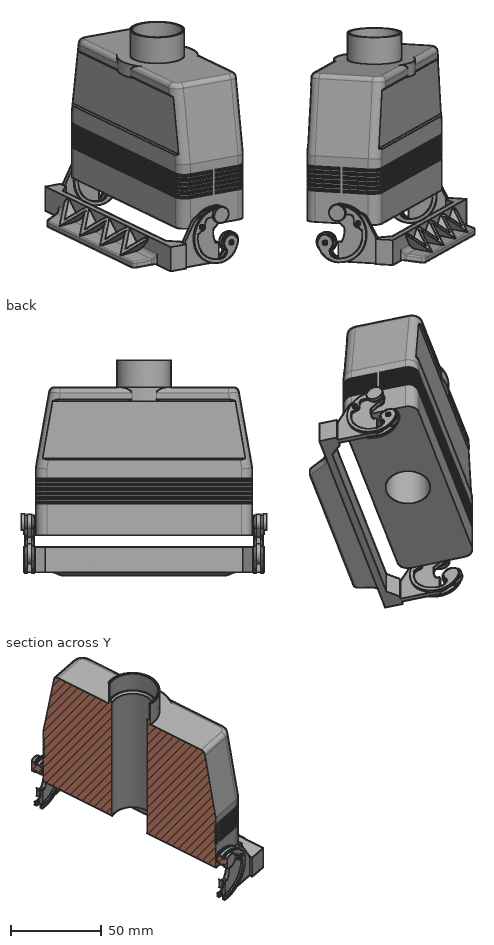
import cadquery as cq
import math

OVERLAP = 1.0

OVERALL_DEPTH = 66.59
OVERALL_HEIGHT = 119.37

HOOD_LENGTH = 120.0
HOOD_DEPTH = 43.0
HOOD_HEIGHT = 82.0
TAPER_START = 37.5
TAPER_ANGLE = 10.0
CORNER_RADIUS = 6.0
TOP_RADIUS = 3.0

PANEL_DEPTH = 0.9
PANEL_BOTTOM = 42.8
PANEL_TOP = 74.4

GROOVE_COUNT = 6
GROOVE_PITCH = 2.52
GROOVE_LOWEST = 18.2
GROOVE_WIDTH = 1.4
GROOVE_DEPTH = 0.45
GROOVE_WEB = 2.0

COLLAR_RADIUS = 22.57
TUBE_RADIUS = 15.0
TUBE_HEIGHT = 15.0
SOCKET_RADIUS = 14.0
SOCKET_DEPTH = 12.0
SEAT_RADIUS = 13.6
BORE_RADIUS = 12.4

PIVOT_Z = 7.4
PIN_RADIUS = 2.6
PIN_HEAD_RADIUS = 4.65
PIN_HEAD_X = 68.0
ARM_X = 63.4
ARM_THICKNESS = 2.5
HOOK_THICKNESS = 5.2

HOOK_Z = -4.57
HOOK_OUTER_RADIUS = 16.3
HOOK_INNER_RADIUS = 14.1
PIVOT_BOSS_RADIUS = 3.8
CURL_RADIUS = 12.0
TIP_Y = 7.5
TIP_Z = -10.1
TIP_RADIUS = 4.4
ROLLER_RADIUS = 5.5
MOUTH_Y = 0.6
MOUTH_RADIUS = 4.45
RIVET_Y = -11.7
RIVET_Z = 1.9
RIVET_BOSS_RADIUS = 2.5
RIVET_RADIUS = 1.35
RIVET_HOLE_RADIUS = 0.75
RIVET_HEIGHT = 0.6
NECK_ANGLE = 215
INNER_END_ANGLE = 170
ARMPIT_Z = 6.4
ARMPIT_RADIUS = 2.6
CREST_ANGLE = 150

PLATE_BOSS_RADIUS = HOOK_Z + HOOK_OUTER_RADIUS - PIVOT_Z
PLATE_BACK = 0.4
NOTCH_TOP = (-3.0, -1.0)
NOTCH_MIDDLE = (-3.2, -4.5)
NOTCH_BOTTOM_Y = -1.3
NOTCH_BOTTOM_Z = -9.5
SHOULDER_BOTTOM = (-16.0, 4.4)
SHOULDER_MIDDLE = (-14.3, 6.3)
SHOULDER_ANGLE = 132
THROAT_ANGLE = -50

BAR_HALF_LENGTH = 66.5
BAR_TOP = -6.4
BAR_BOTTOM = -20.5
BAR_FRONT = -32.1
BAR_THIN_BACK = -28.0
BAR_PAD_BACK = -22.0
PAD_INNER_X = 60.3
PAD_CHAMFER = 5.6

FLANGE_ROOT_HALF = 52.2
FLANGE_WAIST_HALF = 50.2
FLANGE_TIP_HALF = 45.9
FLANGE_FLARE = 1.9
FLANGE_TIP_Y = COLLAR_RADIUS - OVERALL_DEPTH
FLANGE_BOTTOM = HOOD_HEIGHT + TUBE_HEIGHT - OVERALL_HEIGHT
FLANGE_ROOT_TOP = -13.9
FLANGE_TIP_TOP = -18.7
FLANGE_SLOPE = 0.19
FLANGE_UNDERSIDE_ANGLE = 9.7
ROOT_FILLET = 2.7
FLANGE_CORNER = 3.0
FLANGE_EDGE = 0.9

ZIGZAG_TROUGHS = 4
ZIGZAG_HALF_PITCH = 10.72
ZIGZAG_LOW = -18.5
ZIGZAG_RISE = 10.0
ZIGZAG_THICKNESS = 3.0
TROUGH_LIFT = 1.3
WEB_TOP_AT_BAR = -6.7


def cylinder_z(radius, z0, z1):
    return cq.Workplane("XY").workplane(offset=z0).circle(radius).extrude(z1 - z0)


def cylinder_x(radius, y, z, x0, x1):
    return cq.Workplane("YZ").workplane(offset=x0).center(y, z).circle(radius).extrude(x1 - x0)


def on_circle(y, z, radius, degrees):
    angle = math.radians(degrees)
    return (y + radius * math.cos(angle), z + radius * math.sin(angle))


def make_hood_blank():
    half_bottom = HOOD_LENGTH / 2
    half_top = half_bottom - (HOOD_HEIGHT - TAPER_START) * math.tan(math.radians(TAPER_ANGLE))
    hood = (
        cq.Workplane("XZ")
        .polyline([
            (-half_bottom, 0), (half_bottom, 0), (half_bottom, TAPER_START),
            (half_top, HOOD_HEIGHT), (-half_top, HOOD_HEIGHT), (-half_bottom, TAPER_START),
        ])
        .close()
        .extrude(HOOD_DEPTH / 2, both=True)
    )
    hood = hood.edges("not(#Z or |Y)").fillet(CORNER_RADIUS)
    return hood.faces(">Z").edges().fillet(TOP_RADIUS)


def make_side_panel():
    """Cutter for the panel on the -Y side, with 45 degree edges at top and bottom."""
    surface_y = -HOOD_DEPTH / 2
    floor_y = surface_y + PANEL_DEPTH
    return (
        cq.Workplane("YZ")
        .polyline([
            (floor_y, PANEL_BOTTOM), (floor_y, PANEL_TOP),
            (surface_y, PANEL_TOP + PANEL_DEPTH), (surface_y, PANEL_BOTTOM - PANEL_DEPTH),
        ])
        .close()
        .extrude(HOOD_LENGTH / 2, both=True)
    )


def make_groove():
    """Cutter for one grip groove, standing on z = 0, with flanks sloping in at 45 degrees."""
    flank = (
        cq.Workplane("XY")
        .sketch()
        .rect(HOOD_LENGTH, HOOD_DEPTH)
        .vertices()
        .fillet(CORNER_RADIUS)
        .finalize()
        .extrude(GROOVE_DEPTH, taper=45)
    )
    floor = flank.faces(">Z").wires().toPending().extrude(GROOVE_WIDTH - 2 * GROOVE_DEPTH)
    core = floor.union(flank.mirror("XY").translate((0, 0, GROOVE_WIDTH)))
    ring = cq.Workplane("XY").rect(HOOD_LENGTH + OVERLAP, HOOD_DEPTH + OVERLAP).extrude(GROOVE_WIDTH)
    web = cq.Workplane("XY").rect(HOOD_LENGTH + OVERLAP, GROOVE_WEB).extrude(GROOVE_WIDTH)
    return ring.cut(core).cut(web)


def make_bore():
    top = HOOD_HEIGHT + TUBE_HEIGHT
    ledge = top - SOCKET_DEPTH
    seat_bottom = ledge - (SEAT_RADIUS - BORE_RADIUS)
    return (
        cq.Workplane("XZ")
        .polyline([
            (0, 0), (BORE_RADIUS, 0), (BORE_RADIUS, seat_bottom), (SEAT_RADIUS, ledge),
            (SOCKET_RADIUS, ledge), (SOCKET_RADIUS, top), (0, top),
        ])
        .close()
        .revolve(360, (0, 0, 0), (0, 1, 0))
    )


def make_hook():
    """Pair of crescent cheeks of one arm, either side of x = 0, from the pivot to the curled tip."""
    bottom = HOOK_Z - HOOK_OUTER_RADIUS
    inner_bottom = HOOK_Z - HOOK_INNER_RADIUS
    curl_z = bottom + CURL_RADIUS
    curl_end = math.degrees(math.atan2(TIP_Z - curl_z, TIP_Y))
    mouth_z = inner_bottom + MOUTH_RADIUS
    armpit_y = RIVET_Y + RIVET_BOSS_RADIUS
    hook = (
        cq.Workplane("YZ")
        .moveTo(0, PIVOT_Z + PIVOT_BOSS_RADIUS)
        .threePointArc(on_circle(0, HOOK_Z, HOOK_OUTER_RADIUS, CREST_ANGLE), (-HOOK_OUTER_RADIUS, HOOK_Z))
        .threePointArc(on_circle(0, HOOK_Z, HOOK_OUTER_RADIUS, 225), (0, bottom))
        .threePointArc(
            on_circle(0, curl_z, CURL_RADIUS, (curl_end - 90) / 2),
            on_circle(0, curl_z, CURL_RADIUS, curl_end),
        )
        .threePointArc((TIP_Y, TIP_Z + TIP_RADIUS), on_circle(TIP_Y, TIP_Z, TIP_RADIUS, NECK_ANGLE))
        .lineTo(MOUTH_Y + MOUTH_RADIUS, mouth_z)
        .threePointArc(on_circle(MOUTH_Y, mouth_z, MOUTH_RADIUS, -45), (MOUTH_Y, inner_bottom))
        .lineTo(0, inner_bottom)
        .threePointArc(
            on_circle(0, HOOK_Z, HOOK_INNER_RADIUS, 225),
            on_circle(0, HOOK_Z, HOOK_INNER_RADIUS, INNER_END_ANGLE),
        )
        .lineTo(RIVET_Y, RIVET_Z - RIVET_BOSS_RADIUS)
        .threePointArc(
            on_circle(RIVET_Y, RIVET_Z, RIVET_BOSS_RADIUS, -45),
            (armpit_y, RIVET_Z),
        )
        .lineTo(armpit_y, ARMPIT_Z - ARMPIT_RADIUS)
        .threePointArc(
            on_circle(armpit_y + ARMPIT_RADIUS, ARMPIT_Z - ARMPIT_RADIUS, ARMPIT_RADIUS, 135),
            (armpit_y + ARMPIT_RADIUS, ARMPIT_Z),
        )
        .lineTo(0, ARMPIT_Z)
        .close()
        .extrude(HOOK_THICKNESS / 2, both=True)
    )
    half = HOOK_THICKNESS / 2
    hook = hook.union(cylinder_x(PIVOT_BOSS_RADIUS, 0, PIVOT_Z, -half, half))
    reach = 2 * HOOK_OUTER_RADIUS
    gap = cq.Workplane("XY").box(ARM_THICKNESS, 2 * reach, 2 * reach)
    return hook.cut(gap)


def make_arm_plate():
    """Thin plate of one arm, centred on x = 0, from the pivot to the cross bar."""
    half = ARM_THICKNESS / 2
    plate = (
        cq.Workplane("YZ")
        .moveTo(*on_circle(0, PIVOT_Z, PLATE_BOSS_RADIUS, THROAT_ANGLE))
        .lineTo(*NOTCH_TOP)
        .threePointArc(NOTCH_MIDDLE, (NOTCH_BOTTOM_Y, NOTCH_BOTTOM_Z))
        .lineTo(PLATE_BACK, NOTCH_BOTTOM_Z)
        .lineTo(PLATE_BACK, BAR_BOTTOM)
        .lineTo(BAR_PAD_BACK, BAR_BOTTOM)
        .lineTo(BAR_PAD_BACK, BAR_TOP)
        .lineTo(*SHOULDER_BOTTOM)
        .threePointArc(SHOULDER_MIDDLE, on_circle(0, HOOK_Z, HOOK_OUTER_RADIUS, SHOULDER_ANGLE))
        .threePointArc(
            on_circle(0, HOOK_Z, HOOK_OUTER_RADIUS, (90 + SHOULDER_ANGLE) / 2),
            (0, HOOK_Z + HOOK_OUTER_RADIUS),
        )
        .close()
        .extrude(half, both=True)
    )
    return plate.union(cylinder_x(PLATE_BOSS_RADIUS, 0, PIVOT_Z, -half, half))


def make_roller():
    half = ARM_THICKNESS / 2
    return cylinder_x(ROLLER_RADIUS, TIP_Y, TIP_Z, -half, half)


def make_arm():
    """Complete arm for the -X end, with its pivot pin and rivets."""
    outer_face = -ARM_X - HOOK_THICKNESS / 2
    arm = make_arm_plate().union(make_hook()).union(make_roller()).translate((-ARM_X, 0, 0))
    arm = arm.union(cylinder_x(PIN_RADIUS, 0, PIVOT_Z, -ARM_X, OVERLAP - HOOD_LENGTH / 2))
    arm = arm.union(cylinder_x(PIN_HEAD_RADIUS, 0, PIVOT_Z, -PIN_HEAD_X, outer_face))
    for y, z in ((RIVET_Y, RIVET_Z), (TIP_Y, TIP_Z)):
        head = outer_face - RIVET_HEIGHT
        arm = arm.union(cylinder_x(RIVET_RADIUS, y, z, head, outer_face))
        arm = arm.cut(cylinder_x(RIVET_HOLE_RADIUS, y, z, head, outer_face))
    return arm


def make_bar():
    pad_end = PAD_INNER_X - PAD_CHAMFER
    return (
        cq.Workplane("XY")
        .workplane(offset=BAR_BOTTOM)
        .polyline([
            (-BAR_HALF_LENGTH, BAR_FRONT), (BAR_HALF_LENGTH, BAR_FRONT),
            (BAR_HALF_LENGTH, BAR_PAD_BACK), (PAD_INNER_X, BAR_PAD_BACK),
            (pad_end, BAR_THIN_BACK), (-pad_end, BAR_THIN_BACK),
            (-PAD_INNER_X, BAR_PAD_BACK), (-BAR_HALF_LENGTH, BAR_PAD_BACK),
        ])
        .close()
        .extrude(BAR_TOP - BAR_BOTTOM)
    )


def make_flange():
    flare_end = BAR_FRONT - FLANGE_FLARE
    slope = math.tan(math.radians(FLANGE_UNDERSIDE_ANGLE))
    round_drop = FLANGE_EDGE * (slope + math.hypot(1, slope) - 1)
    tip_bottom = FLANGE_BOTTOM - round_drop
    root_bottom = tip_bottom + slope * (BAR_FRONT - FLANGE_TIP_Y)
    fillet_end_y = BAR_FRONT - ROOT_FILLET
    fillet_end_z = FLANGE_TIP_TOP + FLANGE_SLOPE * (fillet_end_y - FLANGE_TIP_Y)
    arc_centre = (fillet_end_y, FLANGE_ROOT_TOP)
    arc_middle = on_circle(*arc_centre, ROOT_FILLET, -45)
    section = (
        cq.Workplane("YZ")
        .moveTo(BAR_FRONT, root_bottom)
        .lineTo(BAR_FRONT, FLANGE_ROOT_TOP)
        .threePointArc(arc_middle, (fillet_end_y, fillet_end_z))
        .lineTo(FLANGE_TIP_Y, FLANGE_TIP_TOP)
        .lineTo(FLANGE_TIP_Y, tip_bottom)
        .close()
        .extrude(FLANGE_ROOT_HALF, both=True)
    )
    plan = (
        cq.Workplane("XY")
        .workplane(offset=tip_bottom)
        .polyline([
            (-FLANGE_ROOT_HALF, BAR_FRONT), (FLANGE_ROOT_HALF, BAR_FRONT),
            (FLANGE_WAIST_HALF, flare_end), (FLANGE_TIP_HALF, FLANGE_TIP_Y),
            (-FLANGE_TIP_HALF, FLANGE_TIP_Y), (-FLANGE_WAIST_HALF, flare_end),
        ])
        .close()
        .extrude(FLANGE_ROOT_TOP - tip_bottom)
        .edges("|Z and (not >Y)")
        .fillet(FLANGE_CORNER)
    )
    flange = section.intersect(plan)
    return flange.faces("<Y").edges("|X").fillet(FLANGE_EDGE)


def zigzag_points(offset):
    """Zigzag with its low points in the troughs, shifted up by offset."""
    points = []
    for index in range(2 * ZIGZAG_TROUGHS + 1):
        height = ZIGZAG_LOW + offset
        if index % 2 == 0:
            height += ZIGZAG_RISE
        points.append(((index - ZIGZAG_TROUGHS) * ZIGZAG_HALF_PITCH, height))
    return points


def make_trough_lift(x):
    """Wedge that raises a trough floor towards the bar."""
    floor = ZIGZAG_LOW + ZIGZAG_THICKNESS
    rim = floor + ZIGZAG_RISE
    sliver = 0.01
    length = BAR_FRONT - FLANGE_TIP_Y

    def chevron(workplane, lift):
        return workplane.polyline([
            (x - ZIGZAG_HALF_PITCH, rim), (x, floor + lift),
            (x + ZIGZAG_HALF_PITCH, rim), (x, floor - OVERLAP),
        ]).close()

    rear = chevron(cq.Workplane("XZ", origin=(0, BAR_FRONT, 0)), TROUGH_LIFT)
    return chevron(rear.workplane(offset=length), sliver).loft(ruled=True)


def make_zigzag():
    lower = zigzag_points(0)
    upper = zigzag_points(ZIGZAG_THICKNESS)
    reach = BAR_FRONT - FLANGE_TIP_Y
    web = (
        cq.Workplane("XZ", origin=(0, BAR_FRONT, 0))
        .polyline(lower + upper[::-1])
        .close()
        .extrude(reach)
    )
    for index in range(1, 2 * ZIGZAG_TROUGHS, 2):
        web = web.union(make_trough_lift(lower[index][0]))
    envelope = (
        cq.Workplane("YZ")
        .polyline([
            (BAR_FRONT, WEB_TOP_AT_BAR),
            (FLANGE_TIP_Y, WEB_TOP_AT_BAR - reach),
            (BAR_FRONT, WEB_TOP_AT_BAR - reach),
        ])
        .close()
        .extrude(BAR_HALF_LENGTH, both=True)
    )
    return web.intersect(envelope)


def make_hood():
    panel = make_side_panel()
    hood = make_hood_blank().cut(panel).cut(panel.mirror("XZ"))
    groove = make_groove()
    for index in range(GROOVE_COUNT):
        centre_z = GROOVE_LOWEST + index * GROOVE_PITCH
        hood = hood.cut(groove.translate((0, 0, centre_z - GROOVE_WIDTH / 2)))
    hood = hood.union(cylinder_z(COLLAR_RADIUS, PANEL_TOP, HOOD_HEIGHT))
    hood = hood.union(cylinder_z(TUBE_RADIUS, HOOD_HEIGHT, HOOD_HEIGHT + TUBE_HEIGHT))
    return hood.cut(make_bore())


def make_lever():
    arm = make_arm()
    lever = make_bar().union(make_flange()).union(make_zigzag())
    return lever.union(arm).union(arm.mirror("YZ"))


result = make_hood().union(make_lever())